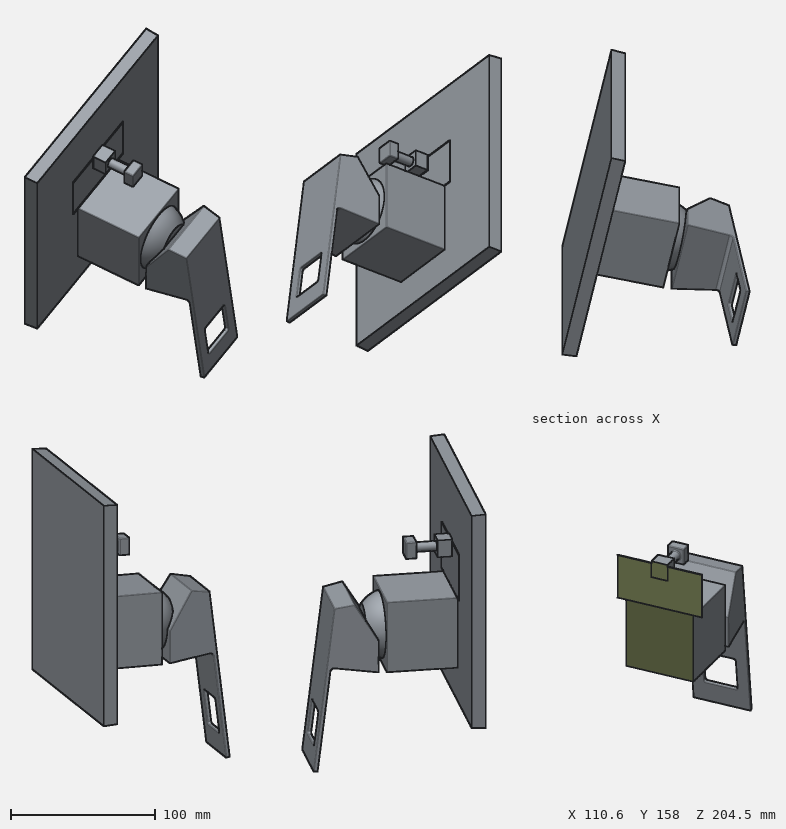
import cadquery as cq
import math


OVERALL_HEIGHT = 204.5

PLATE_SIDE = 158.0
PLATE_THICKNESS = 10.0
PLATE_DRAFT = 3.0
PAD_WIDTH = 65.0
PAD_THICKNESS = 0.6
PAD_TOP_Z = 32.3

AXIS_OFFSET = 27.6

SLEEVE_SIDE = 52.1
SLEEVE_LENGTH = 49.9
SLEEVE_FILLET = 0.5
SLEEVE_FRONT = PLATE_THICKNESS + SLEEVE_LENGTH

DOME_BASE_RADIUS = 23.7
DOME_FLAT_RADIUS = 15.1
DOME_HEIGHT = 12.3

BLOCK_SIDE = 12.5
BLOCK_LENGTH = 10.5
PIN_DIAMETER = 7.0
PIN_LENGTH = 14.7
KNOB_LENGTH = 7.5
KNOB_FILLET = 0.6

HANDLE_TILT = math.radians(7.0)
LEVER_REACH = 110.6
LEVER_THICKNESS = 3.0
LEVER_HEIGHT = 120.6
LEVER_WIDTH = 43.3
HUB_BOTTOM_HEIGHT = 76.7
HUB_DEPTH = 36.2
HUB_BACK_HEIGHT = 23.5
HUB_TOP_DEPTH = 13.5
HUB_TOP_HEIGHT = 124.7
HUB_BACK_WIDTH = 52.0
NECK_FILLET = 2.5
HANDLE_FILLET = 0.5
WINDOW_WIDTH = 25.8
WINDOW_HEIGHT = 25.4
WINDOW_CENTRE_HEIGHT = 28.5
WINDOW_CORNER_RADIUS = 1.6

TILT_SINE = math.sin(HANDLE_TILT)
TILT_COSINE = math.cos(HANDLE_TILT)
LEVER_TIP_X = LEVER_REACH + HANDLE_FILLET * (TILT_COSINE + TILT_SINE - 1)
LEVER_TIP_Z = (
    PLATE_SIDE / 2
    - OVERALL_HEIGHT
    + (LEVER_THICKNESS - HANDLE_FILLET) * TILT_SINE
    + HANDLE_FILLET * (1 - TILT_COSINE)
)


def box_along_x(start, length, side, centre_z):
    """Square bar about the X direction."""
    return cq.Workplane("YZ", origin=(start, 0, centre_z)).rect(side, side).extrude(length)


def make_plate(diverter):
    plate = cq.Workplane("YZ").rect(PLATE_SIDE, PLATE_SIDE).extrude(PLATE_THICKNESS, taper=PLATE_DRAFT)

    pad_bottom_z = SLEEVE_SIDE / 2 - AXIS_OFFSET
    pad = cq.Workplane("XY", origin=(PLATE_THICKNESS, 0, pad_bottom_z)).box(
        PAD_THICKNESS, PAD_WIDTH, PAD_TOP_Z - pad_bottom_z, centered=(False, True, False)
    )
    return plate.union(pad).cut(diverter)


def make_sleeve():
    sleeve = box_along_x(PLATE_THICKNESS, SLEEVE_LENGTH, SLEEVE_SIDE, -AXIS_OFFSET)
    return sleeve.edges("|X or >X").fillet(SLEEVE_FILLET)


def make_dome():
    centre_depth = (DOME_BASE_RADIUS**2 - DOME_FLAT_RADIUS**2 - DOME_HEIGHT**2) / (2 * DOME_HEIGHT)
    ball_radius = math.hypot(DOME_BASE_RADIUS, centre_depth)
    arc_middle_x = DOME_HEIGHT / 2
    arc_middle_radius = math.sqrt(ball_radius**2 - (arc_middle_x + centre_depth) ** 2)
    return (
        cq.Workplane("XY", origin=(SLEEVE_FRONT, 0, -AXIS_OFFSET))
        .lineTo(0, DOME_BASE_RADIUS)
        .threePointArc((arc_middle_x, arc_middle_radius), (DOME_HEIGHT, DOME_FLAT_RADIUS))
        .lineTo(DOME_HEIGHT, 0)
        .close()
        .revolve(360, (0, 0, 0), (1, 0, 0))
    )


def make_diverter():
    pin_start = PLATE_THICKNESS + BLOCK_LENGTH
    knob_start = pin_start + PIN_LENGTH
    block = box_along_x(PLATE_THICKNESS, BLOCK_LENGTH, BLOCK_SIDE, AXIS_OFFSET)
    pin = cq.Workplane("YZ", origin=(pin_start, 0, AXIS_OFFSET)).circle(PIN_DIAMETER / 2).extrude(PIN_LENGTH)
    knob = box_along_x(knob_start, KNOB_LENGTH, BLOCK_SIDE, AXIS_OFFSET)

    beyond_pin = cq.selectors.BoxSelector(
        (knob_start - KNOB_FILLET, -BLOCK_SIDE, AXIS_OFFSET - BLOCK_SIDE),
        (knob_start + 2 * KNOB_LENGTH, BLOCK_SIDE, AXIS_OFFSET + BLOCK_SIDE),
    )
    return block.union(pin).union(knob).edges(beyond_pin).fillet(KNOB_FILLET)


def handle_plane(across, normal):
    """Work plane at the lever tip, turned with the lever."""
    return cq.Workplane(cq.Plane(origin=(LEVER_TIP_X, 0, LEVER_TIP_Z), xDir=across, normal=normal))


def make_handle(dome):
    outward = (TILT_COSINE, 0, TILT_SINE)
    upward = (-TILT_SINE, 0, TILT_COSINE)

    back_top_depth = HUB_DEPTH - HUB_BACK_HEIGHT * TILT_SINE
    back_top_height = HUB_BOTTOM_HEIGHT + HUB_BACK_HEIGHT * TILT_COSINE
    side_profile = (
        handle_plane(outward, (0, -1, 0))
        .polyline(
            [
                (0, 0),
                (0, LEVER_HEIGHT),
                (-HUB_TOP_DEPTH, HUB_TOP_HEIGHT),
                (-back_top_depth, back_top_height),
                (-HUB_DEPTH, HUB_BOTTOM_HEIGHT),
                (-LEVER_THICKNESS, HUB_BOTTOM_HEIGHT),
                (-LEVER_THICKNESS, 0),
            ]
        )
        .close()
        .extrude(HUB_BACK_WIDTH / 2, both=True)
    )

    taper = (
        handle_plane(outward, upward)
        .polyline(
            [
                (0, -LEVER_WIDTH / 2),
                (0, LEVER_WIDTH / 2),
                (-HUB_DEPTH, HUB_BACK_WIDTH / 2),
                (-HUB_DEPTH, -HUB_BACK_WIDTH / 2),
            ]
        )
        .close()
        .extrude(HUB_TOP_HEIGHT)
    )
    handle = side_profile.intersect(taper)

    neck = cq.selectors.NearestToPointSelector(
        (
            LEVER_TIP_X - LEVER_THICKNESS * outward[0] + HUB_BOTTOM_HEIGHT * upward[0],
            0,
            LEVER_TIP_Z - LEVER_THICKNESS * outward[2] + HUB_BOTTOM_HEIGHT * upward[2],
        )
    )
    handle = handle.edges(neck).fillet(NECK_FILLET)

    window = (
        handle_plane((0, 1, 0), outward)
        .center(0, WINDOW_CENTRE_HEIGHT)
        .rect(WINDOW_WIDTH, WINDOW_HEIGHT)
        .extrude(-2 * LEVER_THICKNESS)
        .edges(cq.selectors.ParallelDirSelector(cq.Vector(*outward)))
        .fillet(WINDOW_CORNER_RADIUS)
    )
    return handle.cut(window).edges().fillet(HANDLE_FILLET).cut(dome)


sleeve = make_sleeve()
dome = make_dome()
diverter = make_diverter()
plate = make_plate(diverter)
handle = make_handle(dome)

result = cq.Compound.makeCompound([plate.val(), sleeve.val(), dome.val(), diverter.val(), handle.val()])